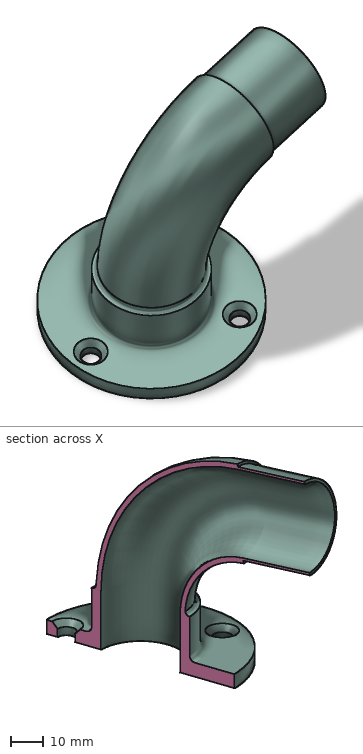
import cadquery as cq
import math

flange_diameter = 71.0
flange_thickness = 5.0
screw_circle_radius = 28.0
screw_hole_diameter = 6.5
countersink_diameter = 10.5
countersink_angle = 90
screw_angles = (30, 150, 270)

collar_diameter = 37.2
collar_top = 20.2
collar_base_fillet = 2.0

tube_diameter = 33.7
spigot_diameter = 31.8
bore_diameter = 29.7
spigot_length = 25.2
bend_radius = 40.3
bend_start = collar_top
spigot_rise = 3.5
bend_angle = 90 - spigot_rise

collar_top_fillet = (collar_diameter - tube_diameter) / 2


def make_flange():
    """Round plate with three countersunk screw holes."""
    plate = cq.Workplane("XY").circle(flange_diameter / 2).extrude(flange_thickness)
    hole_centres = [
        (
            screw_circle_radius * math.cos(math.radians(angle)),
            screw_circle_radius * math.sin(math.radians(angle)),
        )
        for angle in screw_angles
    ]
    return (
        plate.faces(">Z")
        .workplane()
        .pushPoints(hole_centres)
        .cskHole(screw_hole_diameter, countersink_diameter, countersink_angle)
    )


def make_collar():
    """Revolved collar with concave fillets down to the flange and up to the tube."""
    collar_radius = collar_diameter / 2
    tube_radius = tube_diameter / 2
    arc_inset = 1 - math.sqrt(0.5)
    base_mid = (
        collar_radius + collar_base_fillet * arc_inset,
        flange_thickness + collar_base_fillet * arc_inset,
    )
    top_mid = (
        tube_radius + collar_top_fillet * arc_inset,
        collar_top + collar_top_fillet * arc_inset,
    )
    return (
        cq.Workplane("XZ")
        .lineTo(collar_radius + collar_base_fillet, 0)
        .lineTo(collar_radius + collar_base_fillet, flange_thickness)
        .threePointArc(base_mid, (collar_radius, flange_thickness + collar_base_fillet))
        .lineTo(collar_radius, collar_top)
        .threePointArc(top_mid, (tube_radius, collar_top + collar_top_fillet))
        .lineTo(0, collar_top + collar_top_fillet)
        .close()
        .revolve(360, (0, 0, 0), (0, 1, 0))
    )


def make_bend(diameter):
    """Solid round bend that turns from +Z towards +Y."""
    return (
        cq.Workplane("XY", origin=(0, 0, bend_start))
        .circle(diameter / 2)
        .revolve(bend_angle, (0, bend_radius, 0), (-1, bend_radius, 0))
    )


def make_spigot(diameter):
    """Solid straight rod that leaves the end of the bend."""
    turn = math.radians(bend_angle)
    end = cq.Plane(
        origin=(
            0,
            bend_radius * (1 - math.cos(turn)),
            bend_start + bend_radius * math.sin(turn),
        ),
        xDir=(1, 0, 0),
        normal=(0, math.sin(turn), math.cos(turn)),
    )
    return cq.Workplane(end).circle(diameter / 2).extrude(spigot_length)


body = make_flange().union(make_collar())
body = body.union(make_bend(tube_diameter)).union(make_spigot(spigot_diameter))

base_bore = cq.Workplane("XY").circle(bore_diameter / 2).extrude(bend_start)
bore = base_bore.union(make_bend(bore_diameter)).union(make_spigot(bore_diameter))
result = body.cut(bore)